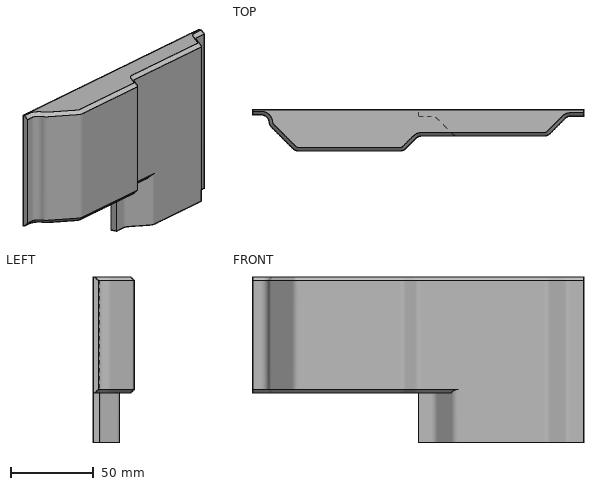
import cadquery as cq
import math

length = 200.0
height = 100.0
depth = 25.0
bend_radius = 4.8
edge_chamfer = 2.2

cover_bottom = 30.0
left_flange_depth = 3.2
left_flange_length = 5.2
left_slope_corner = 25.8
block_left = length / 2
block_depth = 16.0
step_corner = block_left - (depth - block_depth)

flange_depth = 4.0
flange_length = 10.0
hump_rise = block_depth - flange_depth
hump_left = block_left + flange_length
hump_right = length - flange_length
block_overlap = 2 * edge_chamfer


def fillet_uprights(body, corners):
    """Round the vertical edges that pass through the given (x, y) corners."""
    tolerance = 0.02
    for x, y in corners:
        low = (x - tolerance, y - tolerance, -tolerance)
        high = (x + tolerance, y + tolerance, height + tolerance)
        body = body.edges(cq.selectors.BoxSelector(low, high, boundingbox=True)).fillet(bend_radius)
    return body


def point_on_circle(center, degrees):
    angle = math.radians(degrees)
    return (center[0] + bend_radius * math.cos(angle), center[1] + bend_radius * math.sin(angle))


def make_cover():
    hollow = (left_flange_length, -left_flange_depth - bend_radius)
    slope_offset = left_slope_corner - depth + bend_radius * math.sqrt(2)
    across = (slope_offset - hollow[0] - hollow[1]) / math.sqrt(2)
    bend_angle = 45 - math.degrees(math.acos(across / (2 * bend_radius)))
    bend_joint = point_on_circle(hollow, bend_angle)
    outer = (2 * bend_joint[0] - hollow[0], 2 * bend_joint[1] - hollow[1])

    corners = [
        (left_slope_corner, -depth),
        (step_corner, -depth),
        (block_left, -block_depth),
        (hump_right - hump_rise, -block_depth),
        (hump_right, -flange_depth),
    ]
    profile = (
        cq.Workplane("XY", origin=(0, 0, cover_bottom))
        .moveTo(0, 0)
        .lineTo(0, -left_flange_depth)
        .lineTo(left_flange_length, -left_flange_depth)
        .threePointArc(point_on_circle(hollow, (90 + bend_angle) / 2), bend_joint)
        .threePointArc(
            point_on_circle(outer, (180 + bend_angle + 225) / 2),
            point_on_circle(outer, 225),
        )
    )
    for x, y in corners:
        profile = profile.lineTo(x, y)
    body = profile.lineTo(length, -flange_depth).lineTo(length, 0).close().extrude(height - cover_bottom)
    body = fillet_uprights(body, corners)

    back_and_ends = body.faces(">Y or <X or >X").edges()
    rims = body.faces("<Z or >Z").edges()
    front_rims = [rim for rim in rims.vals() if not any(rim.isSame(edge) for edge in back_and_ends.vals())]
    return body.newObject(front_rims).chamfer(edge_chamfer)


def make_block():
    corners = [
        (hump_left, -flange_depth),
        (hump_left + hump_rise, -block_depth),
        (hump_right - hump_rise, -block_depth),
        (hump_right, -flange_depth),
    ]
    outline = [(block_left, 0), (block_left, -flange_depth)]
    outline += corners
    outline += [(length, -flange_depth), (length, 0)]
    body = cq.Workplane("XY").polyline(outline).close().extrude(cover_bottom + block_overlap)
    return fillet_uprights(body, corners)


result = make_cover().union(make_block()).clean()